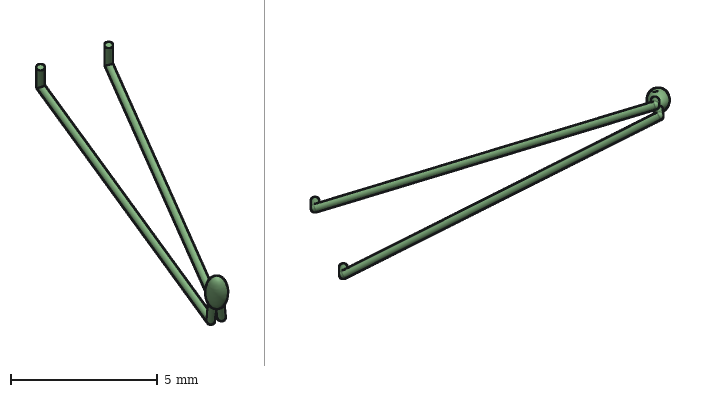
import cadquery as cq

wire_radius = 0.3 / 2
pin_spacing = 2.54
pin_height = 1.0
bend_spacing = 0.4
entry_spacing = 0.21

bulb_radius = 0.4
bulb_half_height = 0.75

total_length = 12.72
total_height = 2.3

bulb_x = total_length - wire_radius - bulb_radius
bulb_z = total_height - wire_radius - bulb_half_height
bend_setback = 0.04
bend_x = bulb_x - bend_setback
entry_setback = 0.06
entry_x = bulb_x - entry_setback


def make_bulb():
    """Half an ellipse turned about the vertical axis."""
    return (
        cq.Workplane("XZ")
        .moveTo(0, -bulb_half_height)
        .ellipseArc(bulb_radius, bulb_half_height, -90, 90, startAtCurrent=True)
        .close()
        .revolve(360, (0, 0), (0, 1))
        .translate((bulb_x, 0, bulb_z))
    )


def make_rod(start, end):
    """Straight round wire between two points."""
    direction = cq.Vector(*end) - cq.Vector(*start)
    rod = cq.Solid.makeCylinder(wire_radius, direction.Length, cq.Vector(*start), direction)
    return cq.Workplane(rod)


def make_bend(centre):
    """Round elbow that joins two rods."""
    return cq.Workplane("XY").sphere(wire_radius).translate(centre)


def make_leg(side, bulb):
    """Bent wire on one side of the middle plane, ending on the bulb surface."""
    pin_end = (0, side * pin_spacing / 2, pin_height)
    pin_bend = (0, side * pin_spacing / 2, 0)
    bulb_bend = (bend_x, side * bend_spacing / 2, 0)
    bulb_end = (entry_x, side * entry_spacing / 2, bulb_z)
    wire = (
        make_rod(pin_end, pin_bend)
        .union(make_bend(pin_bend))
        .union(make_rod(pin_bend, bulb_bend))
        .union(make_bend(bulb_bend))
        .union(make_rod(bulb_bend, bulb_end))
    )
    half_space = cq.Workplane("XY").box(2 * total_length, pin_spacing, 2 * total_height)
    half_space = half_space.translate((0, side * pin_spacing / 2, 0))
    return wire.cut(bulb).intersect(half_space)


bulb = make_bulb()
legs = [make_leg(side, bulb) for side in (-1, 1)]

result = cq.Compound.makeCompound([bulb.val(), *[leg.solids().val() for leg in legs]])